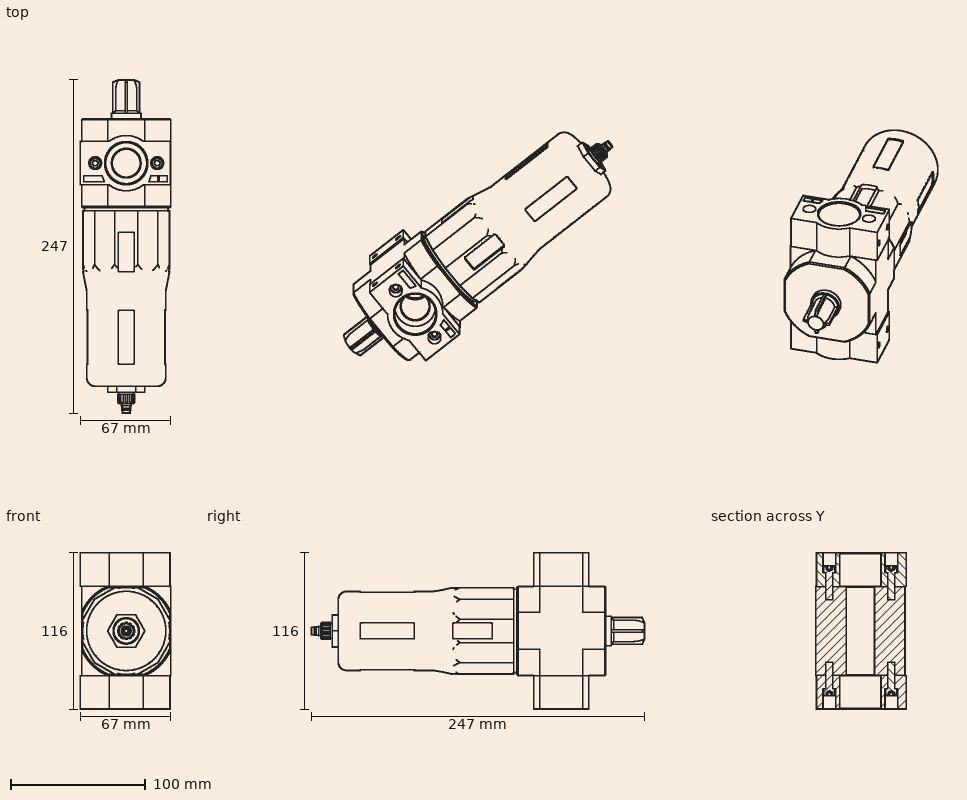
import cadquery as cq
import math


BODY_HALF = 33.0
BODY_RADIUS = 35.8
BODY_CHAMFER = 1.0
BLOCK_HALF_LENGTH = 16.0
FLOW_BORE_DIAMETER = 20.7
FLOW_BORE_CHAMFER = 0.62
NECK_DIAMETER = 62.0
NECK_LENGTH = 2.2

TOP_Y = 61.8
CAP_RING_DIAMETER = 22.0
CAP_RING_TOP = 37.0
CAP_CORE_RADIUS = 8.0
CAP_CORE_START = 38.8
CAP_FOOT_RADIUS = 10.0
CAP_TAPER_START = 53.5
CAP_TAPER_MIDDLE = (7.5, 57.8)
CAP_END_RADIUS = 6.0
CAP_RIB_RADIUS = 10.0
CAP_RIB_WIDTH = 1.7
CAP_RIB_DROP = 1.7

FLANGE_BACK_X = -34.0
FLANGE_FRONT_X = 32.5
FLANGE_TOP = 58.0
FLANGE_HEIGHT = FLANGE_TOP - BODY_HALF
BOSS_RADIUS = 20.5
PORT_DIAMETER = 30.5
PORT_CHAMFER = 0.86
SIDE_HOLE_DIAMETER = 4.2
SIDE_HOLE_DEPTH = 3.7
SIDE_HOLE_Y = 11.0
SIDE_HOLE_Z = 45.5
MARK_DEPTH = 0.2
MARK_TOP = -9.5
MARK_BOTTOM = -13.8
MARK_SLANT = 1.5

SCREW_X = 23.0
HEAD_DIAMETER = 8.5
HEAD_BORE_DIAMETER = 9.5
HEAD_HEIGHT = 5.0
HEAD_CHAMFER = 0.5
HEAD_BORE_DEPTH = 14.8
SHANK_DIAMETER = 5.0
SHANK_LENGTH = 19.8
SOCKET_FLATS = 4.0
SOCKET_DEPTH = 2.5
DRILL_TIP_ANGLE = 118.0

GUARD_TOP = -BODY_HALF - NECK_LENGTH
GUARD_SIDES = 12
GUARD_APOTHEM = 32.0
GUARD_CORNER_RADIUS = GUARD_APOTHEM / math.cos(math.pi / GUARD_SIDES)
GUARD_CONE_TOP = -75.0
GUARD_CONE_BOTTOM = -94.8
GUARD_RADIUS = 29.5
GUARD_BOTTOM = -165.5
GUARD_ROUNDING = 6.5
WINDOW_WIDTH = 11.9
WINDOW_CORNER = 1.0
UPPER_WINDOW = (-51.1, -80.5)
LOWER_WINDOW = (-109.0, -149.2)

BOWL_RADIUS = 28.7
BOWL_ROUNDING = 6.5
BOWL_BOTTOM = -147.0 - BOWL_ROUNDING
HEX_FLATS = 24.0
HEX_END = -170.0
RECESS_DIAMETER = 18.3
RECESS_DEPTH = 4.5
RECESS_CHAMFER = 0.62

VALVE_NECK_DIAMETER = 11.0
VALVE_START = -158.0
KNURL_DIAMETER = 12.5
KNURL_START = -171.2
KNURL_END = -178.3
KNURL_CHAMFER = 1.0
KNURL_COUNT = 12
KNURL_GROOVE_WIDTH = 1.5
KNURL_GROOVE_DEPTH = 1.0
NIPPLE_COLLAR_DIAMETER = 7.2
NIPPLE_COLLAR_END = -179.8
NIPPLE_DIAMETER = 6.5
NIPPLE_TAIL_DIAMETER = 5.7
NIPPLE_GROOVE_DIAMETER = 5.0
NIPPLE_GROOVE = (-181.5, -182.3)
NIPPLE_RIDGE_END = -183.0
VALVE_END = TOP_Y - 247.0
NIPPLE_BORE_DIAMETER = 3.0
NIPPLE_BORE_DEPTH = 5.0


def cylinder_y(diameter, y_start, y_end):
    """Cylinder along the Y axis between two Y positions."""
    low = min(y_start, y_end)
    disc = cq.Workplane("XZ", origin=(0, low, 0)).circle(diameter / 2)
    return disc.extrude(-abs(y_end - y_start))


def cylinder_z(diameter, x, z_start, z_end):
    """Cylinder along Z at a given X between two Z positions."""
    disc = cq.Workplane("XY", origin=(x, 0, z_start)).circle(diameter / 2)
    return disc.extrude(z_end - z_start)


def drill(diameter, depth):
    """Tool pointing down from the origin, with a conical tip below the given depth."""
    radius = diameter / 2
    tip = radius / math.tan(math.radians(DRILL_TIP_ANGLE / 2))
    profile = cq.Workplane("XZ").polyline(
        [(0, 0), (radius, 0), (radius, -depth), (0, -depth - tip)]
    ).close()
    return profile.revolve(360, (0, 0, 0), (0, 1, 0))


def revolve_y(profile):
    """Revolve a closed XY profile about the Y axis."""
    return profile.close().revolve(360, (0, 0, 0), (0, 1, 0))


def make_cap():
    """Domed core with four ribs on a round base ring."""
    ring = cylinder_y(CAP_RING_DIAMETER, BODY_HALF, CAP_RING_TOP)
    core = revolve_y(
        cq.Workplane("XY")
        .moveTo(0, CAP_RING_TOP)
        .lineTo(CAP_FOOT_RADIUS, CAP_RING_TOP)
        .lineTo(CAP_CORE_RADIUS, CAP_CORE_START)
        .lineTo(CAP_CORE_RADIUS, CAP_TAPER_START)
        .threePointArc(CAP_TAPER_MIDDLE, (CAP_END_RADIUS, TOP_Y))
        .lineTo(0, TOP_Y)
    )
    envelope = revolve_y(
        cq.Workplane("XY")
        .moveTo(0, CAP_RING_TOP)
        .lineTo(CAP_RIB_RADIUS, CAP_RING_TOP)
        .lineTo(CAP_RIB_RADIUS, TOP_Y - CAP_RIB_DROP)
        .lineTo(CAP_END_RADIUS, TOP_Y)
        .lineTo(0, TOP_Y)
    )
    length = TOP_Y - CAP_RING_TOP
    middle = (0, CAP_RING_TOP + length / 2, 0)
    span = 2 * CAP_RIB_RADIUS
    ribs = cq.Workplane("XY").box(span, length, CAP_RIB_WIDTH)
    ribs = ribs.union(cq.Workplane("XY").box(CAP_RIB_WIDTH, length, span))
    ribs = ribs.translate(middle).intersect(envelope)
    return ring.union(core).union(ribs)


def make_housing():
    """Rounded square body with neck, ribbed cap, flow bore and screw holes."""
    side = 2 * BODY_HALF
    body = cylinder_y(2 * BODY_RADIUS, -BODY_HALF, BODY_HALF)
    body = body.intersect(cq.Workplane("XY").box(side, side, side))
    body = body.faces("<Y or >Y").chamfer(BODY_CHAMFER)
    body = body.union(cq.Workplane("XY").box(side, 2 * BLOCK_HALF_LENGTH, side))
    body = body.union(cylinder_y(NECK_DIAMETER, -BODY_HALF, GUARD_TOP))
    body = body.union(make_cap())
    bore = cylinder_z(FLOW_BORE_DIAMETER, 0, -BODY_HALF, BODY_HALF)
    for end, depth in ((BODY_HALF, -FLOW_BORE_CHAMFER), (-BODY_HALF, FLOW_BORE_CHAMFER)):
        mouth = cq.Workplane("XY", origin=(0, 0, end)).circle(FLOW_BORE_DIAMETER / 2 + FLOW_BORE_CHAMFER)
        bore = bore.union(mouth.extrude(depth, taper=45))
    return body.cut(bore)


def mark_outlines():
    """Corner points of the three shallow marks on the outer flange face."""
    arrow_left, arrow_right = -31.5, -16.3
    tag_left, tag_right = 16.8, 23.5
    box_left, box_right = 24.5, 30.5
    return [
        [
            (arrow_left, MARK_TOP),
            (arrow_right - MARK_SLANT, MARK_TOP),
            (arrow_right, MARK_BOTTOM),
            (arrow_left, MARK_BOTTOM),
        ],
        [
            (tag_left + MARK_SLANT, MARK_TOP),
            (tag_right, MARK_TOP),
            (tag_right, MARK_BOTTOM),
            (tag_left, MARK_BOTTOM),
        ],
        [
            (box_left, MARK_TOP),
            (box_right, MARK_TOP),
            (box_right, MARK_BOTTOM),
            (box_left, MARK_BOTTOM),
        ],
    ]


def side_hole(y):
    """Blind drilled hole entering the -X flange face."""
    tool = drill(SIDE_HOLE_DIAMETER, SIDE_HOLE_DEPTH)
    tool = tool.rotate((0, 0, 0), (0, 1, 0), -90)
    return tool.translate((FLANGE_BACK_X, y, SIDE_HOLE_Z))


def make_upper_flange():
    """Port flange on the +Z side of the housing."""
    width = FLANGE_FRONT_X - FLANGE_BACK_X
    flange = cq.Workplane("XY").box(width, 2 * BLOCK_HALF_LENGTH, FLANGE_HEIGHT)
    center = ((FLANGE_FRONT_X + FLANGE_BACK_X) / 2, 0, BODY_HALF + FLANGE_HEIGHT / 2)
    flange = flange.translate(center)
    flange = flange.union(cylinder_z(2 * BOSS_RADIUS, 0, BODY_HALF, FLANGE_TOP))
    flange = flange.cut(cylinder_z(PORT_DIAMETER, 0, BODY_HALF, FLANGE_TOP))
    flange = flange.edges(cq.selectors.RadiusNthSelector(0)).edges(">Z").chamfer(PORT_CHAMFER)
    for x in (-SCREW_X, SCREW_X):
        flange = flange.cut(cylinder_z(HEAD_BORE_DIAMETER, x, FLANGE_TOP - HEAD_BORE_DEPTH, FLANGE_TOP))
    for y in (-SIDE_HOLE_Y, SIDE_HOLE_Y):
        flange = flange.cut(side_hole(y))
    for outline in mark_outlines():
        mark = cq.Workplane("XY", origin=(0, 0, FLANGE_TOP)).polyline(outline).close()
        flange = flange.cut(mark.extrude(-MARK_DEPTH))
    return flange


def shank_shape(x):
    """Cylinder filled by a screw shank in the flange and the housing."""
    seat = FLANGE_TOP - HEAD_BORE_DEPTH
    return cylinder_z(SHANK_DIAMETER, x, seat - SHANK_LENGTH, seat)


def make_upper_screw(x):
    """Socket head screw that holds the upper flange."""
    seat = FLANGE_TOP - HEAD_BORE_DEPTH
    head_top = seat + HEAD_HEIGHT
    socket_corners = SOCKET_FLATS / math.cos(math.pi / 6)
    head = cylinder_z(HEAD_DIAMETER, x, seat, head_top).faces(">Z").chamfer(HEAD_CHAMFER)
    screw = head.union(shank_shape(x))
    socket = cq.Workplane("XY").polygon(6, socket_corners).extrude(-SOCKET_DEPTH)
    socket = socket.union(drill(SOCKET_FLATS, SOCKET_DEPTH))
    return screw.cut(socket.translate((x, 0, head_top)))


def window_tools(y_top, y_bottom):
    """Two crossing bars that cut four windows around the guard."""
    length = y_top - y_bottom
    reach = 4 * GUARD_RADIUS
    bar = cq.Workplane("XY").box(WINDOW_WIDTH, length, reach).edges("|Z").fillet(WINDOW_CORNER)
    bar = bar.translate((0, (y_top + y_bottom) / 2, 0))
    return bar.union(bar.rotate((0, 0, 0), (0, 1, 0), 90))


def valve_socket():
    """Hole in the bowl filled by the neck of the drain valve."""
    return cylinder_y(VALVE_NECK_DIAMETER, VALVE_START, HEX_END)


def bowl_envelope():
    """Outer shape of the bowl: round jar with a hexagonal end."""
    jar = cylinder_y(2 * BOWL_RADIUS, BOWL_BOTTOM, GUARD_TOP)
    jar = jar.faces("<Y").edges().fillet(BOWL_ROUNDING)
    corners = HEX_FLATS / math.cos(math.pi / 6)
    hexagon = cq.Workplane("XZ", origin=(0, BOWL_BOTTOM, 0)).polygon(6, corners)
    return jar.union(hexagon.extrude(BOWL_BOTTOM - HEX_END))


def make_bowl():
    """Bowl with a chamfered recess and a socket for the drain valve."""
    recess = cylinder_y(RECESS_DIAMETER, HEX_END, HEX_END + RECESS_DEPTH)
    mouth = cq.Workplane("XZ", origin=(0, HEX_END, 0)).circle(RECESS_DIAMETER / 2 + RECESS_CHAMFER)
    mouth = mouth.extrude(-RECESS_CHAMFER, taper=45)
    return bowl_envelope().cut(recess).cut(mouth).cut(valve_socket())


def make_guard():
    """Twelve-sided sleeve that tapers to a round windowed end around the bowl."""
    outside = revolve_y(
        cq.Workplane("XY")
        .moveTo(0, GUARD_TOP)
        .lineTo(GUARD_CORNER_RADIUS, GUARD_TOP)
        .lineTo(GUARD_CORNER_RADIUS, GUARD_CONE_TOP)
        .lineTo(GUARD_RADIUS, GUARD_CONE_BOTTOM)
        .lineTo(GUARD_RADIUS, GUARD_BOTTOM)
        .lineTo(0, GUARD_BOTTOM)
    )
    outside = outside.faces("<Y").edges().fillet(GUARD_ROUNDING)
    prism = cq.Workplane("XZ", origin=(0, GUARD_TOP, 0)).polygon(GUARD_SIDES, 2 * GUARD_CORNER_RADIUS)
    prism = prism.extrude(GUARD_TOP - GUARD_BOTTOM)
    prism = prism.rotate((0, 0, 0), (0, 1, 0), 180 / GUARD_SIDES)
    guard = outside.intersect(prism).cut(bowl_envelope())
    for window in (UPPER_WINDOW, LOWER_WINDOW):
        guard = guard.cut(window_tools(*window))
    return guard


def make_drain_valve():
    """Knurled drain valve with a grooved hose nipple."""
    groove_start, groove_end = NIPPLE_GROOVE
    knurl = cylinder_y(KNURL_DIAMETER, KNURL_START, KNURL_END)
    knurl = knurl.faces("<Y").chamfer(KNURL_CHAMFER)
    groove = cq.Workplane("XY").box(2 * KNURL_GROOVE_DEPTH, KNURL_START - KNURL_END, KNURL_GROOVE_WIDTH)
    groove = groove.translate((KNURL_DIAMETER / 2, (KNURL_START + KNURL_END) / 2, 0))
    for index in range(KNURL_COUNT):
        knurl = knurl.cut(groove.rotate((0, 0, 0), (0, 1, 0), (index + 0.5) * 360 / KNURL_COUNT))
    valve = cylinder_y(VALVE_NECK_DIAMETER, VALVE_START, KNURL_START).union(knurl)
    valve = valve.union(cylinder_y(NIPPLE_COLLAR_DIAMETER, KNURL_END, NIPPLE_COLLAR_END))
    valve = valve.union(cylinder_y(NIPPLE_DIAMETER, NIPPLE_COLLAR_END, groove_start))
    valve = valve.union(cylinder_y(NIPPLE_GROOVE_DIAMETER, groove_start, groove_end))
    valve = valve.union(cylinder_y(NIPPLE_DIAMETER, groove_end, NIPPLE_RIDGE_END))
    valve = valve.union(cylinder_y(NIPPLE_TAIL_DIAMETER, NIPPLE_RIDGE_END, VALVE_END))
    return valve.cut(cylinder_y(NIPPLE_BORE_DIAMETER, VALVE_END, VALVE_END + NIPPLE_BORE_DEPTH))


housing = make_housing()
upper_flange = make_upper_flange()
upper_screws = []
for screw_x in (-SCREW_X, SCREW_X):
    shank = shank_shape(screw_x)
    housing = housing.cut(shank).cut(shank.mirror("XY"))
    upper_flange = upper_flange.cut(shank)
    upper_screws.append(make_upper_screw(screw_x))

flanges = [upper_flange, upper_flange.mirror("XY")]
screws = upper_screws + [screw.mirror("XY") for screw in upper_screws]
bowl = make_bowl()
guard = make_guard()
drain_valve = make_drain_valve()

result = cq.Compound.makeCompound([
    housing.val(),
    *[flange.val() for flange in flanges],
    *[screw.val() for screw in screws],
    guard.val(),
    bowl.val(),
    drain_valve.val(),
])